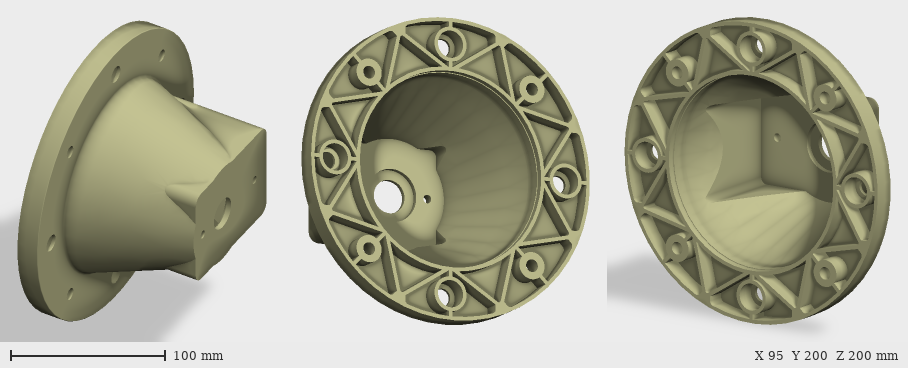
import cadquery as cq
import math

bolt_circle_radius = 82.5
large_boss_bore = 18.0
large_boss_diameter = 23.0
large_boss_hole = 11.5
small_boss_diameter = 18.0
small_boss_hole = 8.5

wall = (large_boss_diameter - large_boss_bore) / 2

flange_diameter = 200.0
flange_thickness = 15.0
flange_edge_radius = 0.5
flange_radius = flange_diameter / 2
pocket_depth = flange_thickness - wall

total_length = 95.0
cone_base_diameter = 134.0
cone_end_diameter = 74.0
cone_length = total_length - flange_thickness
cone_root_radius = 1.8
floor_thickness = 7.5
floor_x = total_length - floor_thickness

mouth_diameter = 130.0
mouth_depth = 5.0
seat_diameter = 129.0
cone_start_x = flange_thickness
seat_blend_radius = 10.0

box_y_max = 56.0
box_y_min = -34.2
box_height = 70.0
box_corner_radius = 7.0

shaft_hole_diameter = 22.0
shaft_recess_diameter = 35.0
shaft_recess_depth = 4.0
screw_hole_diameter = 5.5
screw_hole_spacing = 66.0
screw_hole_center_y = 7.5

cell_count = 8
cell_angle = 360 / cell_count
rib_tip_radius = 95.0
rib_root_radius = mouth_diameter / 2
boss_pocket_half_width = 32.5
boss_pocket_corner_radius = 3.0
gap_pocket_tip_radius = 1.5
pocket_inner_radius = mouth_diameter / 2 + wall
pocket_outer_radius = flange_radius - wall


def disc(diameter, x_start, x_end, y=0, z=0):
    """Cylinder along X between two X positions."""
    return (
        cq.Workplane("YZ", origin=(x_start, y, z))
        .circle(diameter / 2)
        .extrude(x_end - x_start)
    )


def prism(points, depth):
    """Closed YZ outline extruded from the flange face."""
    return cq.Workplane("YZ").polyline(points).close().extrude(depth)


def turn(body, angle):
    """Rotate a body about the housing axis."""
    return body.rotate((0, 0, 0), (1, 0, 0), angle)


def on_bolt_circle(angle):
    """Y and Z of a point on the bolt circle."""
    radians = math.radians(angle)
    return bolt_circle_radius * math.cos(radians), bolt_circle_radius * math.sin(radians)


def rounded_box(end_x, inset):
    """Box running from the flange to end_x, shrunk by inset on its sides."""
    width = box_y_max - box_y_min - 2 * inset
    height = box_height - 2 * inset
    return (
        cq.Workplane("YZ", origin=(flange_thickness, (box_y_max + box_y_min) / 2, 0))
        .rect(width, height)
        .extrude(end_x - flange_thickness)
        .edges("|X")
        .fillet(box_corner_radius - inset)
    )


def make_shell():
    """Flange with the hollow cone and box."""
    cone_base_radius = cone_base_diameter / 2
    cone_end_radius = cone_end_diameter / 2
    cone_slope = (cone_base_radius - cone_end_radius) / cone_length
    cone_angle = math.atan(cone_slope)
    root_reach = cone_root_radius * math.tan((math.pi / 2 - cone_angle) / 2)
    root_end_x = flange_thickness + root_reach * math.cos(cone_angle)
    root_end_radius = cone_base_radius - root_reach * math.sin(cone_angle)
    outside = (
        cq.Workplane("XY")
        .moveTo(0, 0)
        .lineTo(0, flange_radius)
        .lineTo(flange_thickness - flange_edge_radius, flange_radius)
        .tangentArcPoint((flange_thickness, flange_radius - flange_edge_radius), relative=False)
        .lineTo(flange_thickness, cone_base_radius + root_reach)
        .tangentArcPoint((root_end_x, root_end_radius), relative=False)
        .lineTo(total_length, cone_end_radius)
        .lineTo(total_length, 0)
        .close()
        .revolve(360, (0, 0, 0), (1, 0, 0))
    )

    seat_radius = seat_diameter / 2
    mouth_radius = mouth_diameter / 2
    blend_reach = seat_blend_radius * math.tan(cone_angle / 2)
    blend_end_x = cone_start_x + blend_reach * math.cos(cone_angle)
    blend_end_radius = seat_radius - blend_reach * math.sin(cone_angle)
    inside = (
        cq.Workplane("XY")
        .moveTo(0, 0)
        .lineTo(0, mouth_radius)
        .lineTo(mouth_depth, mouth_radius)
        .lineTo(mouth_depth, seat_radius)
        .lineTo(cone_start_x - blend_reach, seat_radius)
        .tangentArcPoint((blend_end_x, blend_end_radius), relative=False)
        .lineTo(floor_x, seat_radius - cone_slope * (floor_x - cone_start_x))
        .lineTo(floor_x, 0)
        .close()
        .revolve(360, (0, 0, 0), (1, 0, 0))
    )
    outside = outside.union(rounded_box(total_length, 0))
    return outside.cut(inside).cut(rounded_box(floor_x, wall))


half_cell = math.radians(cell_angle / 2)
rib_run_y = rib_tip_radius * math.cos(half_cell) - rib_root_radius
rib_run_z = rib_tip_radius * math.sin(half_cell)
rib_slope = rib_run_y / rib_run_z
rib_half_width_y = wall / 2 * math.hypot(rib_run_y, rib_run_z) / rib_run_z


def boss_pocket():
    """Pocket centred on +Y between two slanted ribs, before the boss is left standing in it."""
    apex_y = rib_root_radius + rib_half_width_y
    side_z = boss_pocket_half_width
    side_y = apex_y + rib_slope * side_z
    outline = [
        (apex_y, 0),
        (side_y, side_z),
        (flange_radius, side_z),
        (flange_radius, -side_z),
        (side_y, -side_z),
    ]
    pocket = prism(outline, pocket_depth).intersect(disc(2 * pocket_outer_radius, 0, pocket_depth))
    pocket = pocket.edges("|X").edges(">Z or <Z").edges(">Y").fillet(boss_pocket_corner_radius)
    radial_rib = cq.Workplane("YZ").rect(flange_diameter, wall).extrude(pocket_depth)
    return pocket.cut(radial_rib).cut(disc(2 * pocket_inner_radius, 0, pocket_depth))


def gap_pocket():
    """Triangular pocket between two neighbouring boss pockets, against the mouth wall."""
    start_y = rib_root_radius - rib_half_width_y
    tip_radius = start_y / (math.cos(half_cell) - rib_slope * math.sin(half_cell))
    tip = (tip_radius * math.cos(half_cell), tip_radius * math.sin(half_cell))
    far_angle = math.radians(cell_angle)
    far = (start_y * math.cos(far_angle), start_y * math.sin(far_angle))
    pocket = prism([(start_y, 0), tip, far], pocket_depth)
    tip_edge = cq.selectors.NearestToPointSelector((pocket_depth / 2, *tip))
    pocket = pocket.edges("|X").edges(tip_edge).fillet(gap_pocket_tip_radius)
    return pocket.cut(disc(2 * pocket_inner_radius, 0, pocket_depth))


def add_flange_cells(body):
    """Cut the rib pattern and form the alternating bosses."""
    for cell in range(cell_count):
        angle = cell * cell_angle
        y, z = on_bolt_circle(angle)
        is_large = cell % 2 == 0
        boss_diameter = large_boss_diameter if is_large else small_boss_diameter
        hole_diameter = large_boss_hole if is_large else small_boss_hole
        boss = disc(boss_diameter, 0, pocket_depth, y, z)
        body = body.cut(turn(boss_pocket(), angle).cut(boss))
        body = body.cut(turn(gap_pocket(), angle))
        body = body.cut(disc(hole_diameter, 0, flange_thickness, y, z))
        if is_large:
            body = body.cut(disc(large_boss_bore, 0, pocket_depth, y, z))
    return body


def cut_floor_holes(body):
    """Shaft hole with its recess, and the two screw holes beside it."""
    body = body.cut(disc(shaft_hole_diameter, floor_x, total_length))
    body = body.cut(disc(shaft_recess_diameter, floor_x, floor_x + shaft_recess_depth))
    for side in (-1, 1):
        hole_y = screw_hole_center_y + side * screw_hole_spacing / 2
        body = body.cut(disc(screw_hole_diameter, floor_x, total_length, hole_y))
    return body


result = cut_floor_holes(add_flange_cells(make_shell()))